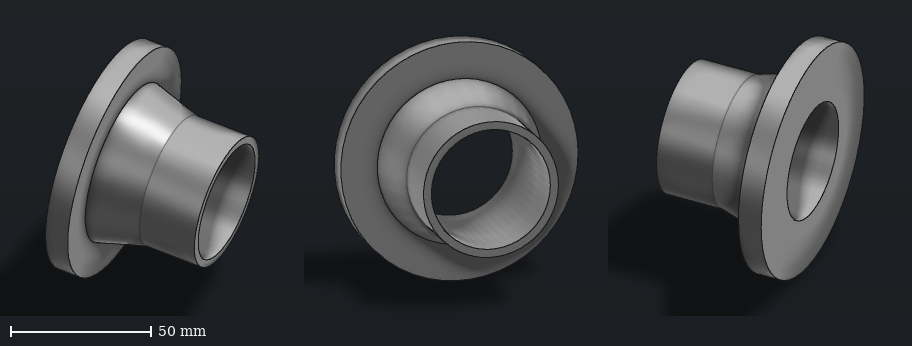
import cadquery as cq

flange_diameter = 88.0
flange_thickness = 9.0
hub_diameter = 50.0
bore_diameter = 44.0
total_length = 50.0
neck_base_diameter = 61.0
neck_end = 28.0

flange_radius = flange_diameter / 2
hub_radius = hub_diameter / 2
bore_radius = bore_diameter / 2
neck_base_radius = neck_base_diameter / 2

half_section = (
    cq.Workplane("XY")
    .moveTo(0, bore_radius)
    .lineTo(0, flange_radius)
    .lineTo(flange_thickness, flange_radius)
    .lineTo(flange_thickness, neck_base_radius)
    .lineTo(neck_end, hub_radius)
    .lineTo(total_length, hub_radius)
    .lineTo(total_length, bore_radius)
    .close()
)

result = half_section.revolve(360, (0, 0, 0), (1, 0, 0))